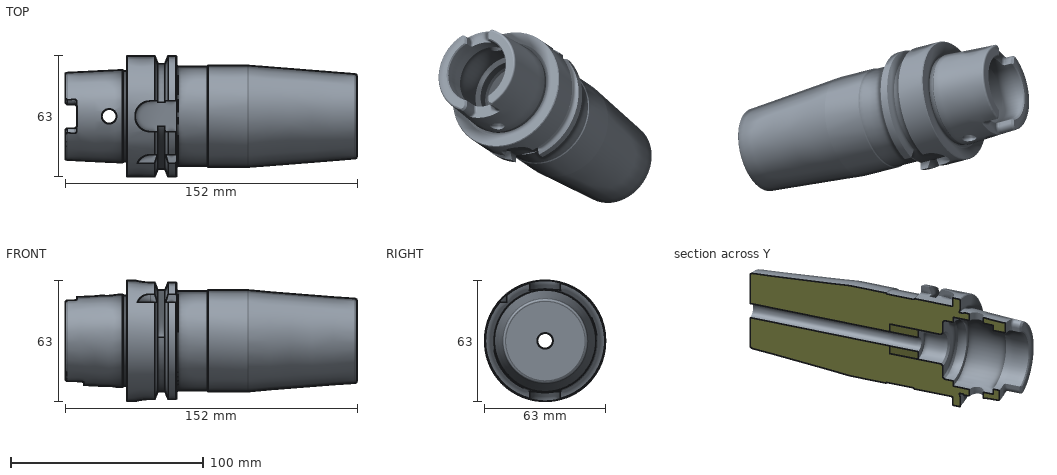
import cadquery as cq


shank_length = 32.0
gauge_radius = 48.04 / 2
gauge_distance = 6.3
taper_slope = 0.05
shank_tip_fillet = 1.0
relief_start = -2.2
relief_drop = 0.5
relief_land = 0.5
face_recess_radius = 51.0 / 2
face_recess_depth = 0.5

flange_radius = 63.0 / 2
flange_width = 26.0
flange_edge = 0.4
groove_center = 18.13
groove_half_top = 3.5
groove_half_floor = 1.85
groove_radius = 55.0 / 2
neck_radius = 52.0 / 2
neck_fillet = 1.0
band_start = 42.0
band_radius = 53.0 / 2
cone_start = 63.2
nose_end = 120.0
nose_radius = 44.0 / 2
nose_fillet = 1.4

bore_radius = 34.0 / 2
bore_chamfer = 0.6
undercut_radius = 40.0 / 2
undercut_start = -18.5
undercut_end = 4.0
bore_floor = 10.0
bore_floor_radius = 31.95 / 2
thread_radius = 16.92 / 2
thread_mouth_radius = 19.02 / 2
thread_depth = 30.0
plug_length = 16.0
passage_radius = 8.0 / 2
radial_hole_diameter = 7.5
radial_hole_x = -9.1

keyway_width = 12.2
keyway_depth_top = 6.1
keyway_depth_bottom = 9.7
keyway_corner = 1.2
keyway_flare_radius = 3.1
keyway_flare_height = 21.2
keyway_mouth_chamfer = 1.0
keyway_inner_height = 10.0

slot_width = 16.0
slot_center_x = 12.4
slot_floor = 26.5
notch_offset = 20.0
notch_end_radius = 7.5
groove_flat_distance = 21.6
groove_flat_angle = 42.3


def taper_radius(x):
    return gauge_radius + taper_slope * (x + gauge_distance)


def revolve_about_x(profile):
    return profile.close().revolve(360, (0, 0, 0), (1, 0, 0))


def outer_shape():
    tip_radius = taper_radius(-shank_length)
    taper_end_radius = taper_radius(relief_start)
    relief_radius = taper_end_radius - relief_drop
    groove_left = groove_center - groove_half_top
    groove_right = groove_center + groove_half_top
    profile = (
        cq.Workplane("XY")
        .moveTo(-shank_length, 0)
        .lineTo(-shank_length, tip_radius)
        .lineTo(relief_start, taper_end_radius)
        .lineTo(relief_start + relief_land, relief_radius)
        .lineTo(face_recess_depth, relief_radius)
        .lineTo(0, face_recess_radius)
        .lineTo(0, flange_radius - flange_edge)
        .lineTo(flange_edge, flange_radius)
        .lineTo(groove_left, flange_radius)
        .lineTo(groove_center - groove_half_floor, groove_radius)
        .lineTo(groove_center + groove_half_floor, groove_radius)
        .lineTo(groove_right, flange_radius)
        .lineTo(flange_width - flange_edge, flange_radius)
        .lineTo(flange_width, flange_radius - flange_edge)
        .lineTo(flange_width, neck_radius + neck_fillet)
        .radiusArc((flange_width + neck_fillet, neck_radius), -neck_fillet)
        .lineTo(band_start, neck_radius)
        .lineTo(band_start + band_radius - neck_radius, band_radius)
        .lineTo(cone_start, band_radius)
        .lineTo(nose_end, nose_radius)
        .lineTo(nose_end, 0)
    )
    shape = revolve_about_x(profile)
    shape = shape.faces("<X").edges().fillet(shank_tip_fillet)
    return shape.faces(">X").edges().fillet(nose_fillet)


def clamping_bore():
    mouth_chamfer = thread_mouth_radius - thread_radius
    floor_chamfer = bore_radius - bore_floor_radius
    profile = (
        cq.Workplane("XY")
        .moveTo(-shank_length, 0)
        .lineTo(-shank_length, bore_radius + bore_chamfer)
        .lineTo(-shank_length + bore_chamfer, bore_radius)
        .lineTo(undercut_start, bore_radius)
        .lineTo(undercut_start, undercut_radius)
        .lineTo(undercut_end, undercut_radius)
        .lineTo(undercut_end, bore_radius)
        .lineTo(bore_floor - floor_chamfer, bore_radius)
        .lineTo(bore_floor, bore_floor_radius)
        .lineTo(bore_floor, thread_mouth_radius)
        .lineTo(bore_floor + mouth_chamfer, thread_radius)
        .lineTo(bore_floor + thread_depth, thread_radius)
        .lineTo(bore_floor + thread_depth, passage_radius)
        .lineTo(nose_end, passage_radius)
        .lineTo(nose_end, 0)
    )
    return revolve_about_x(profile)


def radial_hole():
    return (
        cq.Workplane("XY", origin=(radial_hole_x, 0, -flange_radius))
        .circle(radial_hole_diameter / 2)
        .extrude(2 * flange_radius)
    )


def keyway_profile(x, widening):
    """Keyway cross-section whose convex flared corners keep their centers when widened."""
    half = keyway_width / 2 + widening
    flared = keyway_width / 2 + keyway_flare_radius
    flare_radius = keyway_flare_radius - widening
    flare_start = keyway_flare_height - keyway_flare_radius
    flare_top = keyway_flare_height - widening
    return (
        cq.Workplane("YZ", origin=(x, 0, 0))
        .moveTo(-half, keyway_inner_height)
        .lineTo(-half, flare_start)
        .radiusArc((-flared, flare_top), -flare_radius)
        .lineTo(-flared, flange_radius)
        .lineTo(flared, flange_radius)
        .lineTo(flared, flare_top)
        .radiusArc((half, flare_start), -flare_radius)
        .lineTo(half, keyway_inner_height)
        .close()
    )


def keyway(depth, side):
    """Drive keyway through the shank wall, flaring outward; side is +1 for +Z and -1 for -Z."""
    tip = -shank_length
    slot = keyway_profile(tip, 0).extrude(depth).faces(">X").edges().fillet(keyway_corner)
    mouth_wires = [
        keyway_profile(tip, keyway_mouth_chamfer).val(),
        keyway_profile(tip + keyway_mouth_chamfer, 0).val(),
    ]
    mouth = cq.Workplane(cq.Solid.makeLoft(mouth_wires, True))
    slot = slot.union(mouth)
    if side < 0:
        slot = slot.rotate((0, 0, 0), (1, 0, 0), 180)
    return slot


def flange_slot(side):
    """Round-ended keyway across the flange rim, open toward the nose."""
    length = flange_width - slot_center_x
    height = flange_radius - slot_floor
    slot = cq.Workplane("XY", origin=(slot_center_x, 0, side * slot_floor))
    channel = slot.center(length / 2, 0).rect(length, slot_width).extrude(side * height)
    end = slot.circle(slot_width / 2).extrude(side * height)
    return channel.union(end)


def orientation_notch():
    """Corner notch at 45 degrees with a level floor, an upright wall and a rounded end."""
    reach = flange_radius - notch_offset
    length = flange_width - slot_center_x
    return (
        cq.Workplane("XY", origin=(slot_center_x, -notch_offset, notch_offset))
        .lineTo(length, 0)
        .lineTo(length, -notch_end_radius)
        .lineTo(-notch_end_radius, -notch_end_radius)
        .radiusArc((0, 0), notch_end_radius)
        .close()
        .extrude(reach)
    )


def groove_flat():
    height = flange_radius - groove_flat_distance
    return (
        cq.Workplane("XY", origin=(groove_center, 0, groove_flat_distance))
        .rect(2 * groove_half_floor, 2 * flange_radius)
        .extrude(height)
        .rotate((0, 0, 0), (1, 0, 0), 90 - groove_flat_angle)
    )


def holder_body():
    body = outer_shape()
    body = body.cut(keyway(keyway_depth_top, 1)).cut(keyway(keyway_depth_bottom, -1))
    body = body.cut(clamping_bore()).cut(radial_hole())
    for side in (1, -1):
        body = body.cut(flange_slot(side))
    return body.cut(orientation_notch()).cut(groove_flat())


def coolant_plug():
    """Drilled plug seated against the bottom of the threaded hole."""
    return (
        cq.Workplane("YZ", origin=(bore_floor + thread_depth - plug_length, 0, 0))
        .circle(thread_radius)
        .circle(passage_radius)
        .extrude(plug_length)
    )


holder = holder_body()
plug = coolant_plug()
result = cq.Compound.makeCompound([holder.val(), plug.val()])